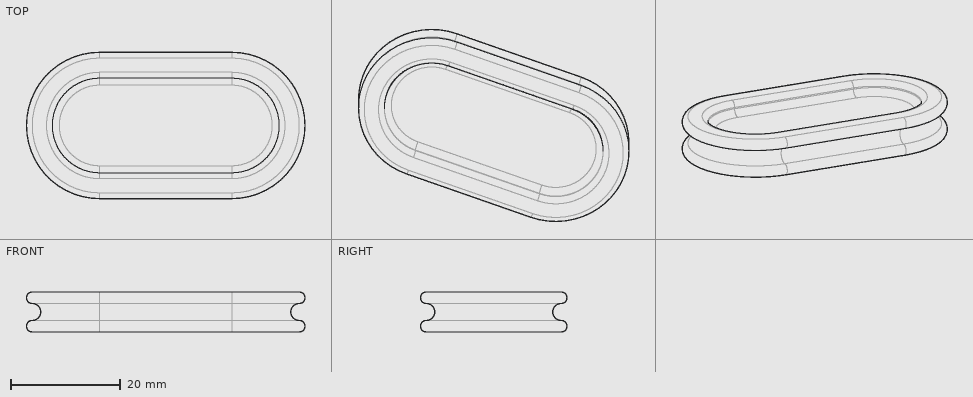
import cadquery as cq

length = 51.1
width = 26.85
bead_radius = 1.05
groove_radius = 1.55
height = 4 * bead_radius + 2 * groove_radius

land_inset = 3.7
lip_radius = 1.05
floor_fillet = 1.3
web_thickness = 2 * bead_radius

end_radius = width / 2
end_center = (length - width) / 2
top = height / 2
bead_center = end_radius - bead_radius
lip_start = end_radius - land_inset
pocket_wall = lip_start - lip_radius
floor_edge = pocket_wall - floor_fillet
floor_level = web_thickness / 2


def half_section():
    """Closed YZ section from the center line out to the rim, drawn from bottom to top."""
    return (
        cq.Workplane("YZ")
        .moveTo(0, -floor_level)
        .lineTo(floor_edge, -floor_level)
        .radiusArc((pocket_wall, -floor_level - floor_fillet), floor_fillet)
        .lineTo(pocket_wall, lip_radius - top)
        .radiusArc((lip_start, -top), -lip_radius)
        .lineTo(bead_center, -top)
        .threePointArc((end_radius, bead_radius - top), (bead_center, -groove_radius))
        .threePointArc((bead_center - groove_radius, 0), (bead_center, groove_radius))
        .threePointArc((end_radius, top - bead_radius), (bead_center, top))
        .lineTo(lip_start, top)
        .radiusArc((pocket_wall, top - lip_radius), -lip_radius)
        .lineTo(pocket_wall, floor_level + floor_fillet)
        .radiusArc((floor_edge, floor_level), floor_fillet)
        .lineTo(0, floor_level)
        .close()
    )


straight_side = half_section().extrude(end_center, both=True)
right_end = (
    half_section()
    .revolve(180, (0, 0), (0, -1))
    .translate((end_center, 0, 0))
)

result = (
    straight_side
    .union(straight_side.mirror("XZ"))
    .union(right_end)
    .union(right_end.mirror("YZ"))
)